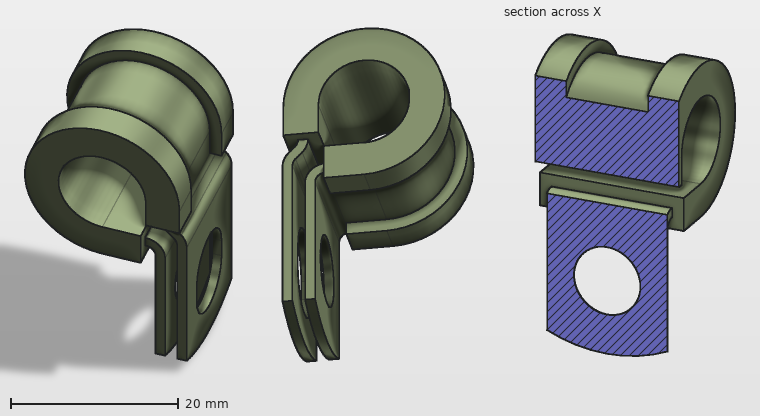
import cadquery as cq
import math


bore_radius = 5.54
cushion_radius = 9.82
cushion_length = 18.92
rim_length = 4.1
lower_end_x = 4.9
upper_end_z = -3.62

strap_thickness = 1.22
strap_outer_radius = 8.31
strap_width = 15.84
bend_inner_radius = 1.2
joggle_angle = math.radians(45)

leg_outer_x = 10.19
leg_gap = 1.53
leg_bottom_z = -26.9
tip_radius = 19.3
hole_diameter = 8.7
slot_length = 11.1
hole_z = -17.42

strap_inner_radius = strap_outer_radius - strap_thickness
bend_outer_radius = bend_inner_radius + strap_thickness
outer_leg_inside_x = leg_outer_x - strap_thickness
inner_leg_outside_x = outer_leg_inside_x - leg_gap
inner_leg_inside_x = inner_leg_outside_x - strap_thickness
groove_length = cushion_length - 2 * rim_length


def extrude_centered(profile, length):
    """Extrude a closed XZ profile symmetrically about the XZ plane."""
    return profile.extrude(length / 2, both=True)


def hook(inner_radius, outer_radius, length):
    """Three-quarter ring with a straight run along +X at the bottom and along -Z at the side."""
    diagonal = math.sqrt(0.5)
    profile = (
        cq.Workplane("XZ")
        .moveTo(lower_end_x, -outer_radius)
        .lineTo(0, -outer_radius)
        .threePointArc((-outer_radius * diagonal, outer_radius * diagonal), (outer_radius, 0))
        .lineTo(outer_radius, upper_end_z)
        .lineTo(inner_radius, upper_end_z)
        .lineTo(inner_radius, 0)
        .threePointArc((-inner_radius * diagonal, inner_radius * diagonal), (0, -inner_radius))
        .lineTo(lower_end_x, -inner_radius)
        .close()
    )
    return extrude_centered(profile, length)


def make_loop():
    """Cushion with the strap floor showing in the groove between its two rims."""
    loop = hook(bore_radius, strap_outer_radius, cushion_length)
    rim_offset = (groove_length + rim_length) / 2
    for side in (-1, 1):
        rim = hook(bore_radius, cushion_radius, rim_length)
        loop = loop.union(rim.translate((0, side * rim_offset, 0)))
    return loop


def make_inner_leg():
    """Leg that leaves the bottom run and turns straight down through a quarter bend."""
    bend_start_x = inner_leg_inside_x - bend_inner_radius
    bend_end_z = -strap_outer_radius - bend_inner_radius
    bend_cos = math.cos(math.pi / 4)

    def bend_middle(radius):
        return (bend_start_x + radius * bend_cos, bend_end_z + radius * bend_cos)

    root_x = lower_end_x - strap_thickness
    profile = (
        cq.Workplane("XZ")
        .moveTo(root_x, -strap_inner_radius)
        .lineTo(bend_start_x, -strap_inner_radius)
        .threePointArc(bend_middle(bend_outer_radius), (inner_leg_outside_x, bend_end_z))
        .lineTo(inner_leg_outside_x, leg_bottom_z)
        .lineTo(inner_leg_inside_x, leg_bottom_z)
        .lineTo(inner_leg_inside_x, bend_end_z)
        .threePointArc(bend_middle(bend_inner_radius), (bend_start_x, -strap_outer_radius))
        .lineTo(root_x, -strap_outer_radius)
        .close()
    )
    return extrude_centered(profile, strap_width)


def make_outer_leg():
    """Leg that leaves the side run and steps outward through an S-shaped joggle."""
    radius_sum = bend_inner_radius + bend_outer_radius
    offset = leg_outer_x - strap_outer_radius
    slope_length = (offset - radius_sum * (1 - math.cos(joggle_angle))) / math.sin(joggle_angle)
    joggle_height = radius_sum * math.sin(joggle_angle) + slope_length * math.cos(joggle_angle)
    joggle_end_z = upper_end_z - joggle_height

    upper_center_x = strap_outer_radius + bend_inner_radius
    lower_center_x = outer_leg_inside_x - bend_inner_radius

    def upper_bend(radius, angle):
        return (upper_center_x - radius * math.cos(angle), upper_end_z - radius * math.sin(angle))

    def lower_bend(radius, angle):
        return (lower_center_x + radius * math.cos(angle), joggle_end_z + radius * math.sin(angle))

    half_angle = joggle_angle / 2
    root_z = upper_end_z + strap_thickness
    profile = (
        cq.Workplane("XZ")
        .moveTo(strap_outer_radius, root_z)
        .lineTo(strap_outer_radius, upper_end_z)
        .threePointArc(
            upper_bend(bend_inner_radius, half_angle),
            upper_bend(bend_inner_radius, joggle_angle),
        )
        .lineTo(*lower_bend(bend_outer_radius, joggle_angle))
        .threePointArc(lower_bend(bend_outer_radius, half_angle), (leg_outer_x, joggle_end_z))
        .lineTo(leg_outer_x, leg_bottom_z)
        .lineTo(outer_leg_inside_x, leg_bottom_z)
        .lineTo(outer_leg_inside_x, joggle_end_z)
        .threePointArc(
            lower_bend(bend_inner_radius, half_angle),
            lower_bend(bend_inner_radius, joggle_angle),
        )
        .lineTo(*upper_bend(bend_outer_radius, joggle_angle))
        .threePointArc(
            upper_bend(bend_outer_radius, half_angle),
            (strap_inner_radius, upper_end_z),
        )
        .lineTo(strap_inner_radius, root_z)
        .close()
    )
    return extrude_centered(profile, strap_width)


def leg_outline():
    """Blank through both legs along X with straight sides and a rounded lower edge."""
    half_width = strap_width / 2
    tip_rise = tip_radius - math.sqrt(tip_radius**2 - half_width**2)
    corner_z = leg_bottom_z + tip_rise
    return (
        cq.Workplane("YZ")
        .moveTo(-half_width, 0)
        .lineTo(-half_width, corner_z)
        .threePointArc((0, leg_bottom_z), (half_width, corner_z))
        .lineTo(half_width, 0)
        .close()
        .extrude(leg_outer_x)
    )


def bolt_hole():
    """Round hole through the inner leg."""
    return (
        cq.Workplane("YZ", origin=(inner_leg_inside_x, 0, hole_z))
        .circle(hole_diameter / 2)
        .extrude(strap_thickness)
    )


def bolt_slot():
    """Upright slot through the outer leg, centred on the bolt hole."""
    return (
        cq.Workplane("YZ", origin=(outer_leg_inside_x, 0, hole_z))
        .slot2D(slot_length, hole_diameter, 90)
        .extrude(strap_thickness)
    )


inner_leg = make_inner_leg().intersect(leg_outline()).cut(bolt_hole())
outer_leg = make_outer_leg().intersect(leg_outline()).cut(bolt_slot())
result = make_loop().union(inner_leg).union(outer_leg)